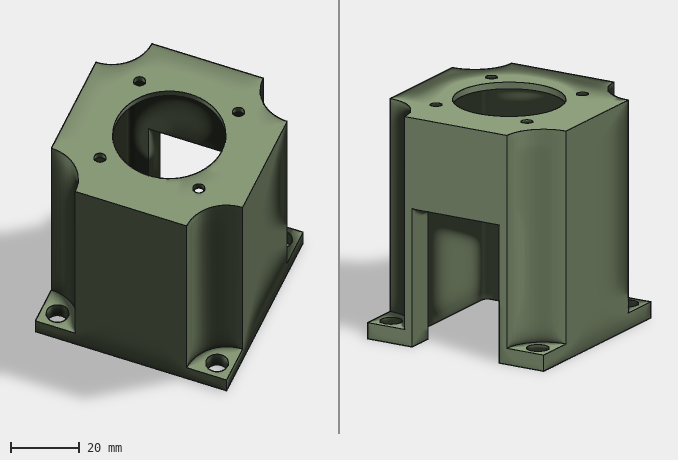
import cadquery as cq

side = 60.0
height = 70.0
base_thickness = 5.0

relief_radius = 12.5
base_hole_diameter = 6.6
base_hole_inset = 5.0

top_thickness = 2.0
bore_diameter = 33.0
screw_hole_diameter = 3.4
screw_hole_spacing = 31.0

cavity_side = 42.0
cavity_corner_radius = 2.0

opening_width = 29.7
opening_height = 42.2


def corner_cylinders(radius, bottom, length):
    """Vertical cylinders centred on the four corners of the block."""
    return (
        cq.Workplane("XY", origin=(0, 0, bottom))
        .rect(side, side, forConstruction=True)
        .vertices()
        .circle(radius)
        .extrude(length)
    )


def square_pattern_holes(spacing, diameter):
    """Vertical cutters on a square pattern, long enough for the whole block."""
    return (
        cq.Workplane("XY")
        .rect(spacing, spacing, forConstruction=True)
        .vertices()
        .circle(diameter / 2)
        .extrude(height)
    )


def cavity():
    """Square space below the top plate."""
    space = cq.Workplane("XY").rect(cavity_side, cavity_side).extrude(height - top_thickness)
    return space.edges("|Z").fillet(cavity_corner_radius)


def wall_opening():
    """Rectangular cutter from the middle of the cavity out through the +Y wall."""
    return cq.Workplane("XY").box(opening_width, side / 2, opening_height, centered=(True, False, False))


body = cq.Workplane("XY").rect(side, side).extrude(height)
reliefs = corner_cylinders(relief_radius, base_thickness, height - base_thickness)
bore = cq.Workplane("XY").circle(bore_diameter / 2).extrude(height)

result = (
    body.cut(reliefs)
    .cut(cavity())
    .cut(wall_opening())
    .cut(bore)
    .cut(square_pattern_holes(side - 2 * base_hole_inset, base_hole_diameter))
    .cut(square_pattern_holes(screw_hole_spacing, screw_hole_diameter))
)